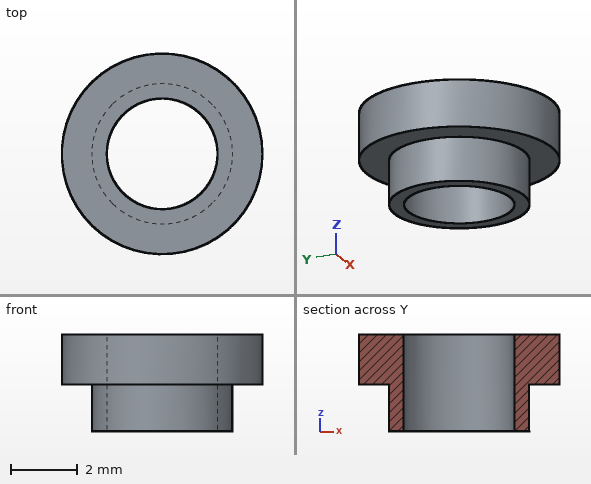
import cadquery as cq

flange_diameter = 6
sleeve_diameter = 4.2
bore_diameter = 3.3
total_height = 2.9
flange_height = 1.5
sleeve_height = total_height - flange_height

sleeve = cq.Workplane("XY").circle(sleeve_diameter / 2).extrude(sleeve_height)

bushing = sleeve.faces(">Z").workplane().circle(flange_diameter / 2).extrude(flange_height)

result = bushing.faces(">Z").workplane().hole(bore_diameter)